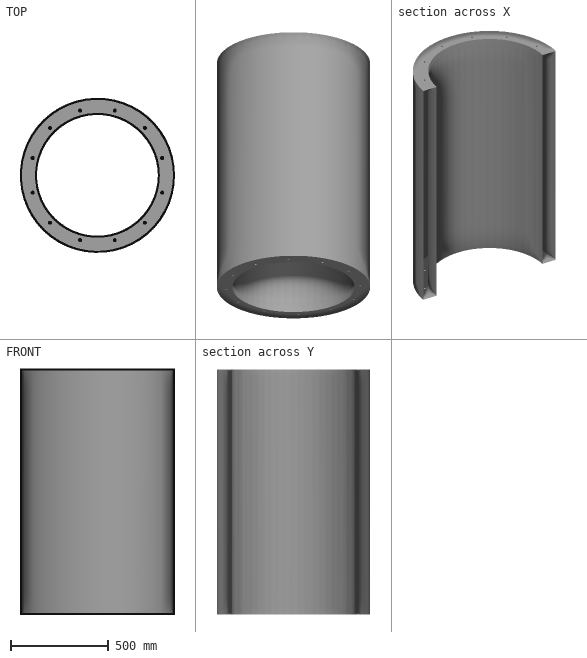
import cadquery as cq

outer_diameter = 790.0
inner_diameter = 630.0
height = 1260.0

sheet_thickness = 2.0
end_ring_thickness = sheet_thickness

hole_count = 12
hole_diameter = 10.0
hole_circle_diameter = 690.0
first_hole_angle = 360.0 / hole_count / 2


def make_ring(outside, inside, bottom, length):
    """Round tube about Z with its lower end at the given height."""
    profile = cq.Workplane("XY", origin=(0, 0, bottom)).circle(outside / 2).circle(inside / 2)
    return profile.extrude(length)


def make_cavity():
    """Closed annular space between the two sheet walls and the two end rings."""
    return make_ring(
        outer_diameter - 2 * sheet_thickness,
        inner_diameter + 2 * sheet_thickness,
        end_ring_thickness,
        height - 2 * end_ring_thickness,
    )


def make_hole_pins():
    """Full-height cylinders that pierce both end rings in line."""
    return (
        cq.Workplane("XY")
        .polarArray(hole_circle_diameter / 2, first_hole_angle, 360, hole_count)
        .circle(hole_diameter / 2)
        .extrude(height)
    )


body = make_ring(outer_diameter, inner_diameter, 0, height)
result = body.cut(make_cavity()).cut(make_hole_pins())